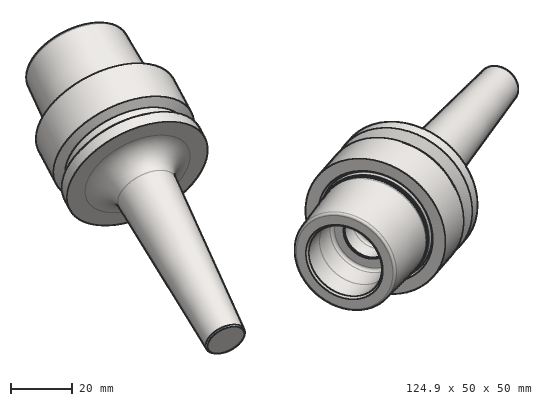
import cadquery as cq
import math

length = 124.9

shank_front_radius = 18.1
shank_front_round = 0.9
shank_rear_radius = 19.1
shank_taper_end = 22.4

relief_start = 23.2
relief_end = 24.7
relief_depth = 0.2
relief_wall_length = 0.4

flange_radius = 25.0
flange_start = 25.0
flange_end = 51.0

recess_outer_radius = 20.5
recess_floor_radius = 19.7
recess_depth = 0.9
recess_root_round = 0.5

groove_start = 39.7
groove_end = 46.6
groove_floor_start = 41.5
groove_floor_end = 44.2
groove_floor_radius = 21.6

blend_radius = 8.1
nose_root_radius = 10.5
nose_tip_radius = 7.0
nose_tip_chamfer = 0.5

bore_radius = 13.0
bore_mouth_chamfer = 0.7
bore_taper_start = 9.1
bore_inner_radius = 12.9
bore_depth = 18.4
bore_floor_round = 1.1

pocket_radius = 8.1
pocket_mouth_chamfer = 0.4
pocket_depth = 7.5
pocket_floor_round = 1.1

SECTION = cq.Plane(origin=(0, 0, 0), xDir=(1, 0, 0), normal=(0, 0, -1))


def start_profile():
    return cq.Workplane(SECTION).moveTo(0, 0)


def revolve_about_axis(profile):
    return profile.close().revolve(360, (0, 0, 0), (1, 0, 0))


def quarter_arc_point(center_x, center_radius, arc_radius, toward_x, toward_radius):
    """Middle of a quarter arc, in the diagonal direction given by two signs."""
    offset = arc_radius * math.sqrt(0.5)
    return center_x + toward_x * offset, center_radius + toward_radius * offset


def make_body():
    relief_radius = shank_rear_radius - relief_depth
    recess_floor = flange_start + recess_depth
    blend_end = flange_end + blend_radius
    blend_outer_radius = nose_root_radius + blend_radius
    front_round_middle = quarter_arc_point(
        shank_front_round, shank_front_radius - shank_front_round, shank_front_round, -1, 1)
    recess_round_middle = quarter_arc_point(
        recess_floor - recess_root_round, shank_rear_radius + recess_root_round, recess_root_round, 1, -1)
    blend_middle = quarter_arc_point(blend_end, blend_outer_radius, blend_radius, -1, -1)

    profile = (
        start_profile()
        .lineTo(0, shank_front_radius - shank_front_round)
        .threePointArc(front_round_middle, (shank_front_round, shank_front_radius))
        .lineTo(shank_taper_end, shank_rear_radius)
        .lineTo(relief_start, shank_rear_radius)
        .lineTo(relief_start + relief_wall_length, relief_radius)
        .lineTo(relief_end - relief_wall_length, relief_radius)
        .lineTo(relief_end, shank_rear_radius)
        .lineTo(recess_floor - recess_root_round, shank_rear_radius)
        .threePointArc(recess_round_middle, (recess_floor, shank_rear_radius + recess_root_round))
        .lineTo(recess_floor, recess_floor_radius)
        .lineTo(flange_start, recess_outer_radius)
        .lineTo(flange_start, flange_radius)
        .lineTo(groove_start, flange_radius)
        .lineTo(groove_floor_start, groove_floor_radius)
        .lineTo(groove_floor_end, groove_floor_radius)
        .lineTo(groove_end, flange_radius)
        .lineTo(flange_end, flange_radius)
        .lineTo(flange_end, blend_outer_radius)
        .threePointArc(blend_middle, (blend_end, nose_root_radius))
        .lineTo(length - nose_tip_chamfer, nose_tip_radius)
        .lineTo(length, nose_tip_radius - nose_tip_chamfer)
        .lineTo(length, 0)
    )
    return revolve_about_axis(profile)


def make_bore():
    pocket_floor = bore_depth + pocket_depth
    bore_round_middle = quarter_arc_point(
        bore_depth - bore_floor_round, bore_inner_radius - bore_floor_round, bore_floor_round, 1, 1)
    pocket_round_middle = quarter_arc_point(
        pocket_floor - pocket_floor_round, pocket_radius - pocket_floor_round, pocket_floor_round, 1, 1)

    profile = (
        start_profile()
        .lineTo(0, bore_radius + bore_mouth_chamfer)
        .lineTo(bore_mouth_chamfer, bore_radius)
        .lineTo(bore_taper_start, bore_radius)
        .lineTo(bore_depth - bore_floor_round, bore_inner_radius)
        .threePointArc(bore_round_middle, (bore_depth, bore_inner_radius - bore_floor_round))
        .lineTo(bore_depth, pocket_radius + pocket_mouth_chamfer)
        .lineTo(bore_depth + pocket_mouth_chamfer, pocket_radius)
        .lineTo(pocket_floor - pocket_floor_round, pocket_radius)
        .threePointArc(pocket_round_middle, (pocket_floor, pocket_radius - pocket_floor_round))
        .lineTo(pocket_floor, 0)
    )
    return revolve_about_axis(profile)


result = make_body().cut(make_bore())